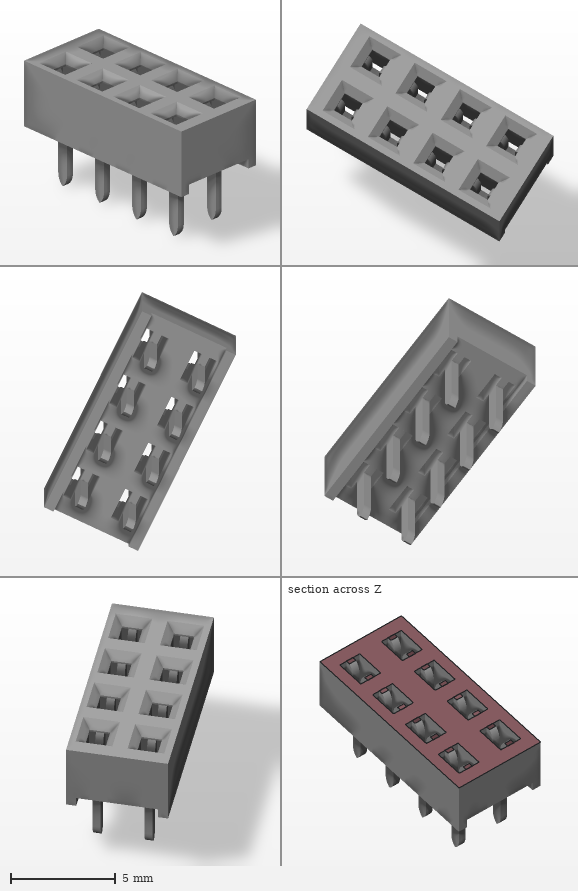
import cadquery as cq
import math

columns = 4
rows = 2
pitch = 2.54

housing_length = 10.82
housing_depth = 5.0
housing_height = 3.51
foot_height = 0.5
foot_depth = 0.5

mouth_width = 1.8
throat_width = 1.0
mouth_depth = 0.4
throat_depth = 0.1
cavity_length = 1.6
cavity_depth = 1.19

contact_thickness = 0.4
tail_width = 0.6
tail_reach = 3.0
curve_radius = 0.8
tine_top_drop = mouth_depth + throat_depth
tine_lead_angle = 49.5
crotch_height = 1.3
crotch_angle = 5.0

contact_places = [
    ((column - (columns - 1) / 2) * pitch, (row - (rows - 1) / 2) * pitch)
    for column in range(columns)
    for row in range(rows)
]


def make_socket_cutter():
    """Empty space of one socket, centred on the Z axis."""
    throat_top = housing_height - mouth_depth
    cavity_top = throat_top - throat_depth
    mouth = (
        cq.Workplane("XY", origin=(0, 0, housing_height))
        .rect(mouth_width, mouth_width)
        .workplane(offset=-mouth_depth)
        .rect(throat_width, throat_width)
        .loft(ruled=True)
    )
    throat = cq.Workplane("XY").rect(throat_width, throat_width).extrude(throat_top)
    cavity = cq.Workplane("XY").rect(cavity_length, cavity_depth).extrude(cavity_top)
    return mouth.union(throat).union(cavity)


def make_housing():
    """Block with a foot along each long side and one socket per contact."""
    block = cq.Workplane("XY").box(
        housing_length, housing_depth, housing_height, centered=(True, True, False)
    )
    channel = cq.Workplane("XY").box(
        housing_length, housing_depth - 2 * foot_depth, foot_height, centered=(True, True, False)
    )
    body = block.cut(channel)
    socket = make_socket_cutter()
    for x, y in contact_places:
        body = body.cut(socket.translate((x, y, 0)))
    return body


def arc_point(start_x, start_z, angle, direction):
    """Point where a curve tangent to a vertical side has turned by angle; direction is its sideways sign."""
    turn = math.radians(angle)
    x = start_x + direction * curve_radius * (1 - math.cos(turn))
    z = start_z + curve_radius * math.sin(turn)
    return x, z


def make_contact():
    """Fork and tail as one plate, centred on the Z axis."""
    half_tail = tail_width / 2
    half_fork = cavity_length / 2

    tip_angle = math.degrees(math.acos(1 - half_tail / curve_radius))
    tip_height = curve_radius * math.sin(math.radians(tip_angle))
    tip_start_z = tip_height - tail_reach
    tip_mid_x, tip_mid_rise = arc_point(half_tail, 0, tip_angle / 2, -1)
    tip_mid_z = tip_start_z - tip_mid_rise

    tine_top_z = housing_height - tine_top_drop
    bulge_z = tine_top_z - curve_radius * math.sin(math.radians(tine_lead_angle))
    lead_mid = arc_point(half_tail, bulge_z, tine_lead_angle / 2, 1)
    lead_end_x, _ = arc_point(half_tail, bulge_z, tine_lead_angle, 1)
    crotch_side_z = crotch_height + half_tail * math.tan(math.radians(crotch_angle))

    outline = (
        cq.Workplane("XZ")
        .moveTo(0, -tail_reach)
        .threePointArc((tip_mid_x, tip_mid_z), (half_tail, tip_start_z))
        .lineTo(half_tail, foot_height)
        .lineTo(half_fork, foot_height)
        .lineTo(half_fork, tine_top_z)
        .lineTo(lead_end_x, tine_top_z)
        .threePointArc(lead_mid, (half_tail, bulge_z))
        .lineTo(half_tail, crotch_side_z)
        .lineTo(0, crotch_height)
        .mirrorY()
    )
    return outline.extrude(contact_thickness / 2, both=True)


housing = make_housing()
contact = make_contact()
contacts = [contact.translate((x, y, 0)).val() for x, y in contact_places]

result = cq.Compound.makeCompound([housing.val(), *contacts])